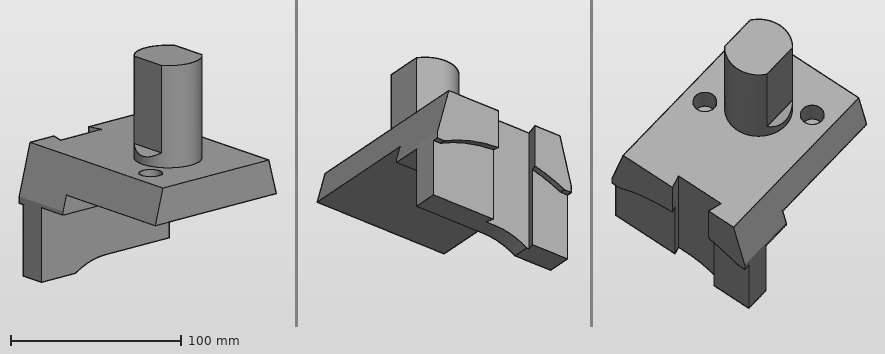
import cadquery as cq
import math

TOTAL_HEIGHT = 143.0
LENGTH = 118.5
WIDTH = 100.0
SHAFT_HEIGHT = 63.0
LEG_BOTTOM = SHAFT_HEIGHT - TOTAL_HEIGHT

TOP_WIDTH = 83.0
TAPER = math.radians(15)
PLATE_THICKNESS = 22.0
HEAD_LENGTH = 39.2
HEAD_DEPTH = 33.9

WALL_FRONT = 3.7
WALL_BACK = 20.0
LIP_DEPTH = 35.9
LIP_ARCH_CREST = -25.3
LIP_ARCH_RADIUS = 100.0

WALL_BOTTOM = -73.4
WALL_ARC_RADIUS = 45.0

SLOT_CENTER_Y = -9.2
SLOT_OPENING = 27.2
SLOT_DEPTH = 8.7

SHAFT_X = 76.0
SHAFT_DIAMETER = 40.0
FLAT_SPACING = 31.9
FLAT_BOTTOM = 9.2

HOLE_DIAMETER = 13.9
HOLE_DEPTH = 14.3
HOLE_OFFSET_X = 16.0
HOLE_OFFSET_Y = 27.6


def block(x_start, x_end, y_start, y_end, z_start, z_end):
    """Box given by its limits along each axis."""
    size = (x_end - x_start, y_end - y_start, z_end - z_start)
    return cq.Workplane("XY").box(*size, centered=False).translate((x_start, y_start, z_start))


def make_body():
    """Plate, head, lip and wall, trimmed to the tapered cross-section."""
    half_width = WIDTH / 2
    half_top = TOP_WIDTH / 2
    taper_depth = (half_width - half_top) / math.tan(TAPER)
    section = (
        cq.Workplane("YZ")
        .polyline([
            (-half_top, 0),
            (half_top, 0),
            (half_width, -taper_depth),
            (half_width, LEG_BOTTOM),
            (-half_width, LEG_BOTTOM),
            (-half_width, -taper_depth),
        ])
        .close()
        .extrude(LENGTH)
    )
    side_profile = (
        cq.Workplane("XZ", origin=(0, half_width, 0))
        .polyline([
            (0, 0),
            (LENGTH, 0),
            (LENGTH, -PLATE_THICKNESS),
            (HEAD_LENGTH, -PLATE_THICKNESS),
            (HEAD_LENGTH, -HEAD_DEPTH),
            (WALL_BACK, -HEAD_DEPTH),
            (WALL_BACK, LEG_BOTTOM),
            (WALL_FRONT, LEG_BOTTOM),
            (WALL_FRONT, -LIP_DEPTH),
            (0, -LIP_DEPTH),
        ])
        .close()
        .extrude(WIDTH)
    )
    return section.intersect(side_profile)


def lip_arch():
    """Cylinder that arches the underside of the lip."""
    center_z = LIP_ARCH_CREST - LIP_ARCH_RADIUS
    return cq.Workplane("YZ").center(0, center_z).circle(LIP_ARCH_RADIUS).extrude(WALL_FRONT)


def wall_underside():
    """Material removed under the wall, leaving the leg on the -Y side."""
    flat_cut = block(WALL_FRONT, WALL_BACK, 0, WIDTH / 2, LEG_BOTTOM, WALL_BOTTOM)
    center_z = WALL_BOTTOM - WALL_ARC_RADIUS
    arc_cut = (
        cq.Workplane("YZ", origin=(WALL_FRONT, 0, 0))
        .center(0, center_z)
        .circle(WALL_ARC_RADIUS)
        .extrude(WALL_BACK - WALL_FRONT)
    )
    return flat_cut.union(arc_cut)


def dovetail_slot():
    """Full-height slot that widens away from the front face."""
    half_opening = SLOT_OPENING / 2
    half_floor = half_opening + SLOT_DEPTH * math.tan(TAPER)
    return (
        cq.Workplane("XY")
        .polyline([
            (0, SLOT_CENTER_Y - half_opening),
            (SLOT_DEPTH, SLOT_CENTER_Y - half_floor),
            (SLOT_DEPTH, SLOT_CENTER_Y + half_floor),
            (0, SLOT_CENTER_Y + half_opening),
        ])
        .close()
        .extrude(LEG_BOTTOM)
    )


def make_shaft():
    """Round shaft trimmed by a profile with flats and sloped shoulders."""
    radius = SHAFT_DIAMETER / 2
    half_flats = FLAT_SPACING / 2
    shoulder_bottom = FLAT_BOTTOM - (radius - half_flats)
    cylinder = cq.Workplane("XY").center(SHAFT_X, 0).circle(radius).extrude(SHAFT_HEIGHT)
    flats_profile = (
        cq.Workplane("YZ")
        .polyline([
            (-radius, 0),
            (radius, 0),
            (radius, shoulder_bottom),
            (half_flats, FLAT_BOTTOM),
            (half_flats, SHAFT_HEIGHT),
            (-half_flats, SHAFT_HEIGHT),
            (-half_flats, FLAT_BOTTOM),
            (-radius, shoulder_bottom),
        ])
        .close()
        .extrude(LENGTH)
    )
    return cylinder.intersect(flats_profile)


def plate_holes():
    """Two blind round holes in the plate top."""
    return (
        cq.Workplane("XY")
        .pushPoints([
            (SHAFT_X - HOLE_OFFSET_X, HOLE_OFFSET_Y),
            (SHAFT_X + HOLE_OFFSET_X, -HOLE_OFFSET_Y),
        ])
        .circle(HOLE_DIAMETER / 2)
        .extrude(-HOLE_DEPTH)
    )


body = make_body().cut(lip_arch()).cut(wall_underside())
body = body.cut(dovetail_slot()).cut(plate_holes())
result = body.union(make_shaft())